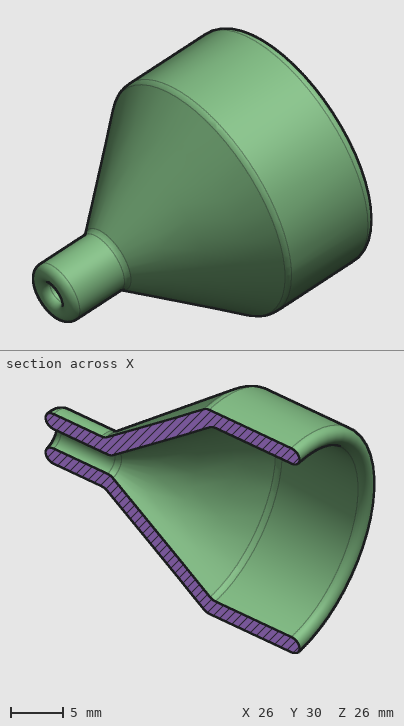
import cadquery as cq
import math

length = 30.0
rim_radius = 26.0 / 2
spout_radius = 6.4 / 2
bore_radius = 1.2
spout_length = 7.0
cone_length = 12.0
bend_radius = 1.0

wall = spout_radius - bore_radius
lip_radius = wall / 2
cone_end = spout_length + cone_length
cone_angle = math.atan2(rim_radius - spout_radius, cone_length)
corner_shift = wall * math.tan(cone_angle / 2)


def funnel_wall():
    """Revolve the wall section, with its two rounded lips, around Y."""
    return (
        cq.Workplane("XY")
        .moveTo(spout_radius, lip_radius)
        .lineTo(spout_radius, spout_length)
        .lineTo(rim_radius, cone_end)
        .lineTo(rim_radius, length - lip_radius)
        .threePointArc(
            (rim_radius - lip_radius, length),
            (rim_radius - wall, length - lip_radius),
        )
        .lineTo(rim_radius - wall, cone_end + corner_shift)
        .lineTo(bore_radius, spout_length + corner_shift)
        .lineTo(bore_radius, lip_radius)
        .threePointArc(
            (spout_radius - lip_radius, 0),
            (spout_radius, lip_radius),
        )
        .close()
        .revolve(360, (0, 0, 0), (0, 1, 0))
    )


def round_bends(body):
    """Round the inner and outer corners at both ends of the cone."""
    corner_margin = lip_radius / 2
    corner_zone = cq.selectors.BoxSelector(
        (-rim_radius, spout_length - corner_margin, -rim_radius),
        (rim_radius, cone_end + corner_shift + corner_margin, rim_radius),
    )
    bends = body.edges("%CIRCLE").edges(corner_zone)
    return body.newObject(bends.vals()).fillet(bend_radius)


result = round_bends(funnel_wall())